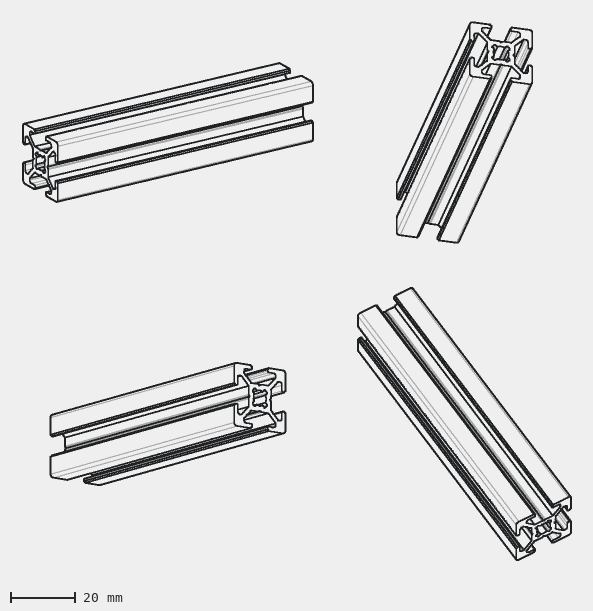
import cadquery as cq
import math

side = 20.0
length = 94.0
half_side = side / 2
corner_radius = 1.0

slot_opening = 6.0
lip_thickness = 1.4
lip_cove_radius = 0.5
lip_nose_radius = 0.5
pocket_width = 12.3
pocket_radius = 0.8
core_width = 8.7
web_thickness = 1.5

groove_width = 1.0
groove_depth = 0.4
groove_edge_radius = 0.5

bore_diameter = 4.9
relief_width = 1.4
relief_span = 6.9
relief_corner_radius = 0.2


def make_slot():
    """T-slot void on the +Z side, drawn as its +X half and mirrored."""
    half_opening = slot_opening / 2
    half_pocket = pocket_width / 2
    half_core = core_width / 2
    lip_z = half_side - lip_thickness
    web_offset = web_thickness / math.sqrt(2)

    cove_reach = lip_cove_radius / math.sqrt(2)
    nose_x = half_opening + lip_nose_radius
    nose_z = lip_z + lip_nose_radius
    nose_reach = lip_nose_radius / math.sqrt(2)

    half_void = (
        cq.Workplane("XZ")
        .moveTo(0, half_side)
        .lineTo(half_opening + lip_cove_radius, half_side)
        .threePointArc(
            (half_opening + cove_reach, half_side - cove_reach),
            (half_opening, half_side - lip_cove_radius),
        )
        .lineTo(half_opening, nose_z)
        .threePointArc((nose_x - nose_reach, nose_z - nose_reach), (nose_x, lip_z))
        .lineTo(half_pocket - pocket_radius, lip_z)
        .tangentArcPoint((half_pocket, lip_z - pocket_radius), relative=False)
        .lineTo(half_pocket, half_pocket + web_offset)
        .lineTo(half_core - web_offset, half_core)
        .lineTo(groove_width / 2, half_core)
        .lineTo(0, half_core - groove_depth)
        .close()
        .extrude(length / 2, both=True)
    )
    void = half_void.union(half_void.mirror("YZ"))
    for x in (-groove_width / 2, groove_width / 2):
        groove_edge = cq.selectors.NearestToPointSelector((x, 0, half_core))
        void = void.edges(groove_edge).fillet(groove_edge_radius)
    return void


def make_bore():
    """Round bore with a narrow rectangular relief across each diagonal."""
    bore = cq.Workplane("XZ").circle(bore_diameter / 2).extrude(length / 2, both=True)
    relief = cq.Workplane("XY").box(relief_span, length, relief_width)
    relief = relief.edges("|Y").fillet(relief_corner_radius)
    for angle in (45, 135):
        bore = bore.union(relief.rotate((0, 0, 0), (0, 1, 0), angle))
    return bore


bar = cq.Workplane("XY").box(side, length, side).edges("|Y").fillet(corner_radius)
slot = make_slot()
for angle in (0, 90, 180, 270):
    bar = bar.cut(slot.rotate((0, 0, 0), (0, 1, 0), angle))

result = bar.cut(make_bore())